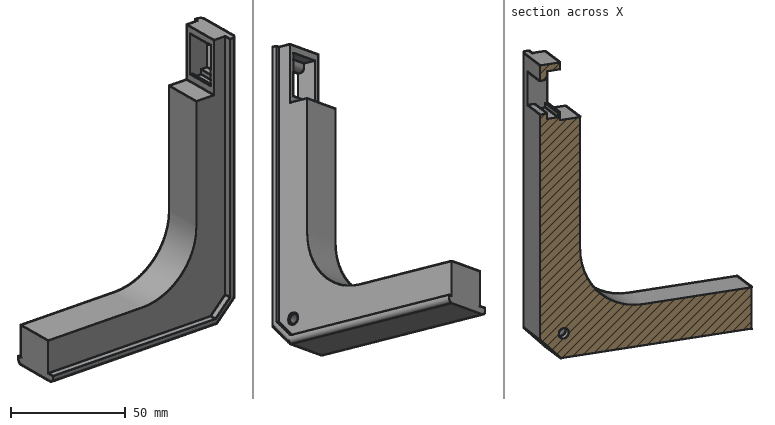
import cadquery as cq
import math

width = 24.6
length = 101.6
height = 137.6

arm_depth = 19.4
corner_chamfer = 10.0
inner_radius = 30.0

flange_thickness = 3.5
flange_radius = 2.0
left_overhang = 1.8
right_overhang = 3.5
body_width = width - left_overhang - right_overhang

plate_thickness = 9.6
plate_height = 26.8

socket_width = 14.6
top_wall = 3.5
socket_height = 19.8
socket_top = height - top_wall
socket_bottom = socket_top - socket_height
front_lip_depth = 1.1
catch_depth = 3.5
catch_rise = 0.4
groove_drop = 2.0
top_catch_drop = 4.0
top_catch_radius = 2.0

hole_diameter = 4.5
countersink_diameter = 5.5
countersink_depth = (countersink_diameter - hole_diameter) / 2
hole_depth = 6.9
hole_inset = 11.4

body_left = left_overhang
body_center = body_left + body_width / 2
plate_front = length - plate_thickness


def make_body():
    """L-shaped body with a rounded inner corner and a stepped upper end."""
    arm_front = length - arm_depth
    arc_center_y = arm_front - inner_radius
    arc_center_z = arm_depth + inner_radius
    arc_offset = inner_radius * math.sqrt(0.5)
    return (
        cq.Workplane("YZ", origin=(body_left, 0, 0))
        .moveTo(0, 0)
        .lineTo(length - corner_chamfer, 0)
        .lineTo(length, corner_chamfer)
        .lineTo(length, height)
        .lineTo(plate_front, height)
        .lineTo(plate_front, height - plate_height)
        .lineTo(arm_front, height - plate_height)
        .lineTo(arm_front, arc_center_z)
        .threePointArc(
            (arc_center_y + arc_offset, arc_center_z - arc_offset),
            (arc_center_y, arm_depth),
        )
        .lineTo(0, arm_depth)
        .close()
        .extrude(body_width)
    )


def make_flange():
    """Strip of constant thickness around the outer edge, rounded along its outside."""
    inner_y = length - flange_thickness
    inner_chamfer = corner_chamfer - flange_thickness * (2 - math.sqrt(2))
    strip = (
        cq.Workplane("YZ")
        .moveTo(0, 0)
        .lineTo(length - corner_chamfer, 0)
        .lineTo(length, corner_chamfer)
        .lineTo(length, height)
        .lineTo(inner_y, height)
        .lineTo(inner_y, flange_thickness + inner_chamfer)
        .lineTo(inner_y - inner_chamfer, flange_thickness)
        .lineTo(0, flange_thickness)
        .close()
        .extrude(width)
    )
    edge_middles = [
        ((length - corner_chamfer) / 2, 0),
        (length - corner_chamfer / 2, corner_chamfer / 2),
        (length, (corner_chamfer + height) / 2),
    ]
    outer_edges = cq.Workplane("XY")
    for x in (0, width):
        for y, z in edge_middles:
            outer_edges = outer_edges.add(strip.edges(cq.NearestToPointSelector((x, y, z))))
    return strip.newObject(outer_edges.vals()).fillet(flange_radius)


def make_socket():
    """Cutter for the socket, with catches at the back and a groove in its floor."""
    groove_start = plate_front + front_lip_depth
    catch_start = length - catch_depth
    groove_floor = socket_bottom - groove_drop
    catch_top = socket_bottom + catch_rise
    top_catch_bottom = socket_top - top_catch_drop
    arc_offset = top_catch_radius * (1 - math.sqrt(0.5))
    return (
        cq.Workplane("YZ", origin=(body_center - socket_width / 2, 0, 0))
        .moveTo(plate_front, socket_bottom)
        .lineTo(groove_start, socket_bottom)
        .lineTo(groove_start, groove_floor)
        .lineTo(catch_start, groove_floor)
        .lineTo(catch_start, catch_top)
        .lineTo(length, catch_top)
        .lineTo(length, top_catch_bottom)
        .lineTo(catch_start + top_catch_radius, top_catch_bottom)
        .threePointArc(
            (catch_start + arc_offset, top_catch_bottom + arc_offset),
            (catch_start, top_catch_bottom + top_catch_radius),
        )
        .lineTo(catch_start, socket_top)
        .lineTo(plate_front, socket_top)
        .close()
        .extrude(socket_width)
    )


def make_hole():
    """Cutter for the blind hole and its countersink, entering from the -X side."""
    return (
        cq.Workplane("XY", origin=(body_left, length - hole_inset, hole_inset))
        .moveTo(0, 0)
        .lineTo(0, countersink_diameter / 2)
        .lineTo(countersink_depth, hole_diameter / 2)
        .lineTo(hole_depth, hole_diameter / 2)
        .lineTo(hole_depth, 0)
        .close()
        .revolve(360, (0, 0, 0), (1, 0, 0))
    )


bracket = make_flange().union(make_body())
result = bracket.cut(make_socket()).cut(make_hole())